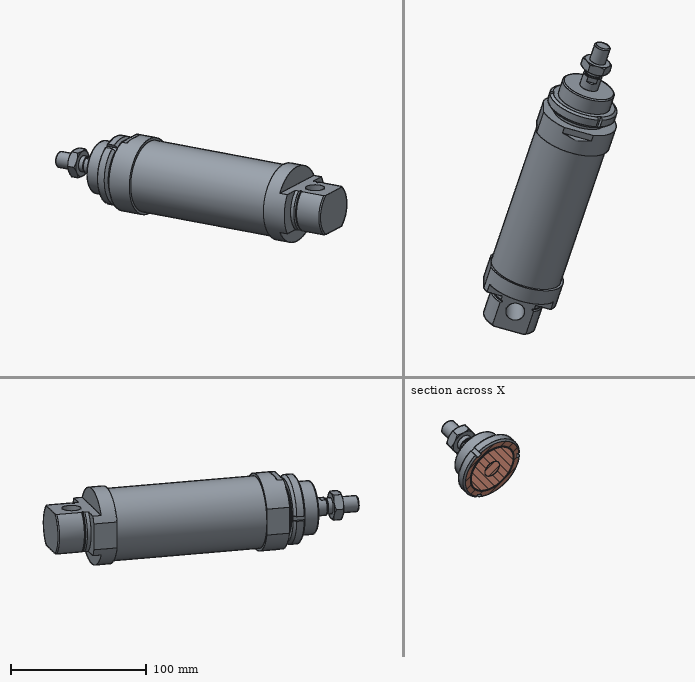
import cadquery as cq
import math

overall_length = 237.0

thread_dia = 12.0
thread_tip_dia = 10.2
thread_tip_chamfer = (thread_dia - thread_tip_dia) / 2
thread_end_x = 24.0
rod_neck_dia = 11.4
rod_shoulder_x = 25.1
rod_dia = 14.0
wrench_flat_height = 11.8
wrench_flat_end_x = 29.0

lock_nut_start_x = 13.3
lock_nut_sides = 6
lock_nut_length = 7.0
lock_nut_across_flats = 19.5
lock_nut_chamfer_angle = 30.0

spigot_dia = 40.0
spigot_groove_dia = 38.2
spigot_chamfer = (spigot_dia - spigot_groove_dia) / 2
groove_floor_length = 0.5
groove_length = 2 * spigot_chamfer + groove_floor_length
groove_offset = 2.8

nose_start_x = 35.3
front_cap_start_x = 60.5
cap_dia = 58.0
cap_side_flat_y = 27.3
front_flat_height = 53.5
front_flat_end_x = 65.2

ring_nut_start_x = 47.5
ring_nut_length = 9.2
ring_nut_dia = 52.1
ring_nut_front_chamfer = 1.5
ring_nut_rear_chamfer = 2.1
ring_nut_face_dia = 47.9
slot_count = 3
slot_width = 3.5
slot_floor_radius = 23.2

tube_start_x = 78.0
tube_end_x = 193.6
tube_dia = 54.0

rear_flat_start_x = 205.2
rear_cap_end_x = 211.6
eye_thickness = 30.5
eye_hole_dia = 14.0
eye_hole_x = 221.0


def cylinder(diameter, start_x, end_x):
    return cq.Workplane("YZ", origin=(start_x, 0, 0)).circle(diameter / 2).extrude(end_x - start_x)


def revolve_profile(points):
    """Turn a closed (x, radius) profile around the X axis."""
    return cq.Workplane("XY").polyline(points).close().revolve(360, (0, 0, 0), (1, 0, 0))


def milled_flat_cutter(start_x, floor_end_x, height, body_dia):
    """Cutter for flats at Z = +-height / 2 that run out to the body surface along a concave arc."""
    floor = height / 2
    runout_radius = (body_dia - height) / 2
    upper = (
        cq.Workplane("XZ")
        .moveTo(start_x, floor)
        .lineTo(floor_end_x, floor)
        .radiusArc((floor_end_x + runout_radius, body_dia / 2), runout_radius)
        .lineTo(start_x, body_dia / 2)
        .close()
        .extrude(body_dia / 2, both=True)
    )
    return upper.union(upper.mirror("XY"))


def spigot_groove(start_x):
    """Ring that cuts a thread relief with 45 degree sides."""
    floor = spigot_groove_dia / 2
    depth = spigot_chamfer
    top = floor + depth
    profile = [
        (start_x, top),
        (start_x + depth, floor),
        (start_x + depth + groove_floor_length, floor),
        (start_x + groove_length, top),
    ]
    return revolve_profile(profile)


def cap_side_flat(start_x, end_x):
    length = end_x - start_x
    center = ((start_x + end_x) / 2, cap_side_flat_y + cap_dia / 2, 0)
    return cq.Workplane("XY").box(length, cap_dia, cap_dia).translate(center)


def make_rod():
    rod = revolve_profile(
        [
            (0, 0),
            (0, thread_tip_dia / 2),
            (thread_tip_chamfer, thread_dia / 2),
            (thread_end_x, thread_dia / 2),
            (thread_end_x, rod_neck_dia / 2),
            (rod_shoulder_x, rod_neck_dia / 2),
            (rod_shoulder_x, rod_dia / 2),
            (tube_start_x, rod_dia / 2),
            (tube_start_x, 0),
        ]
    )
    return rod.cut(milled_flat_cutter(rod_shoulder_x, wrench_flat_end_x, wrench_flat_height, rod_dia))


def make_lock_nut():
    across_corners = lock_nut_across_flats / math.cos(math.pi / lock_nut_sides)
    nut = (
        cq.Workplane("YZ", origin=(lock_nut_start_x, 0, 0))
        .polygon(lock_nut_sides, across_corners)
        .extrude(lock_nut_length)
    )
    end_x = lock_nut_start_x + lock_nut_length
    face_radius = lock_nut_across_flats / 2
    corner_radius = across_corners / 2
    chamfer = (corner_radius - face_radius) * math.tan(math.radians(lock_nut_chamfer_angle))
    envelope = revolve_profile(
        [
            (lock_nut_start_x, 0),
            (lock_nut_start_x, face_radius),
            (lock_nut_start_x + chamfer, corner_radius),
            (end_x - chamfer, corner_radius),
            (end_x, face_radius),
            (end_x, 0),
        ]
    )
    return nut.intersect(envelope).cut(cylinder(thread_dia, lock_nut_start_x, end_x))


def make_ring_nut():
    end_x = ring_nut_start_x + ring_nut_length
    outer = ring_nut_dia / 2
    face = ring_nut_face_dia / 2
    bore = spigot_dia / 2
    nut = revolve_profile(
        [
            (ring_nut_start_x, bore),
            (ring_nut_start_x, face),
            (ring_nut_start_x + ring_nut_front_chamfer, outer),
            (end_x - ring_nut_rear_chamfer, outer),
            (end_x, face),
            (end_x, bore),
        ]
    )
    slot_center = ((ring_nut_start_x + end_x) / 2, slot_floor_radius + outer / 2, 0)
    slot = cq.Workplane("XY").box(ring_nut_length, outer, slot_width).translate(slot_center)
    for index in range(slot_count):
        nut = nut.cut(slot.rotate((0, 0, 0), (1, 0, 0), index * 360 / slot_count))
    return nut


def make_front_cap():
    nose = cylinder(spigot_dia, nose_start_x, front_cap_start_x).faces("<X").chamfer(spigot_chamfer)
    nose = nose.cut(spigot_groove(front_cap_start_x - groove_offset - groove_length))
    flange = cylinder(cap_dia, front_cap_start_x, tube_start_x)
    flange = flange.cut(cap_side_flat(front_cap_start_x, tube_start_x))
    flange = flange.cut(
        milled_flat_cutter(front_cap_start_x, front_flat_end_x, front_flat_height, cap_dia)
    )
    return nose.union(flange).cut(cylinder(rod_dia, nose_start_x, tube_start_x))


def make_tube():
    return cylinder(tube_dia, tube_start_x, tube_end_x)


def make_rear_cap():
    spigot = cylinder(spigot_dia, rear_cap_end_x, overall_length).faces(">X").chamfer(spigot_chamfer)
    spigot = spigot.cut(spigot_groove(rear_cap_end_x + groove_offset))
    flange = cylinder(cap_dia, tube_end_x, rear_cap_end_x)
    flange = flange.cut(cap_side_flat(tube_end_x, rear_cap_end_x))
    eye_length = overall_length - rear_flat_start_x
    upper_block = (
        cq.Workplane("XY", origin=(rear_flat_start_x + eye_length / 2, 0, eye_thickness / 2))
        .rect(eye_length, cap_dia)
        .extrude(cap_dia)
    )
    eye_flats = upper_block.union(upper_block.mirror("XY"))
    cross_hole = (
        cq.Workplane("XY", origin=(eye_hole_x, 0, 0))
        .circle(eye_hole_dia / 2)
        .extrude(eye_thickness, both=True)
    )
    return flange.union(spigot).cut(eye_flats).cut(cross_hole)


rod = make_rod()
lock_nut = make_lock_nut()
ring_nut = make_ring_nut()
front_cap = make_front_cap()
tube = make_tube()
rear_cap = make_rear_cap()

result = cq.Compound.makeCompound(
    [rod.val(), lock_nut.val(), ring_nut.val(), front_cap.val(), tube.val(), rear_cap.val()]
)